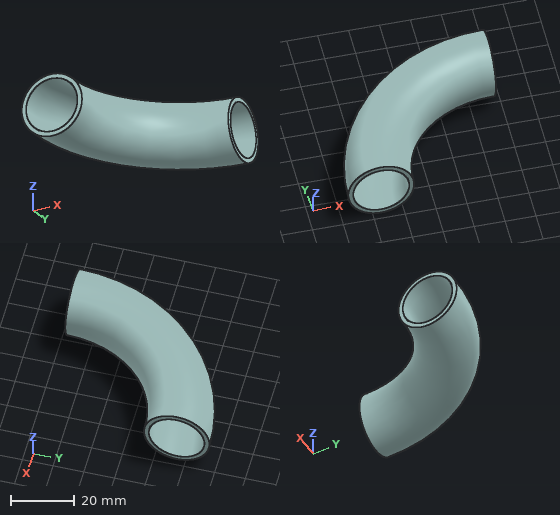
import cadquery as cq

overall_length = 55.65
outer_diameter = 21.3
wall_thickness = 1.6
bend_angle = 90.0

outer_radius = outer_diameter / 2
inner_radius = outer_radius - wall_thickness
bend_radius = overall_length - outer_radius

tube_section = cq.Workplane("XZ").circle(outer_radius).circle(inner_radius)

bend_axis_start = (bend_radius, 0)
bend_axis_end = (bend_radius, -1)

result = tube_section.revolve(bend_angle, bend_axis_start, bend_axis_end)